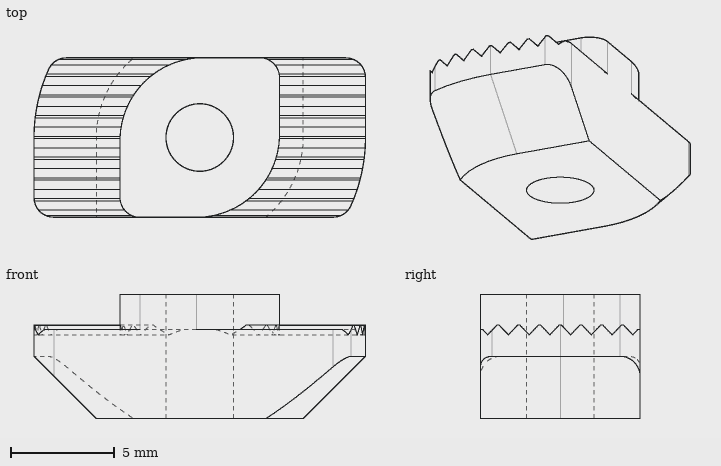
import cadquery as cq
import math

length = 16.0
width = 7.7
height = 6.0
half_length = length / 2
half_width = width / 2

ridge_top = 4.51
taper_height = 3.0
bottom_half_length = half_length - taper_height
corner_radius = 0.96

boss_round_radius = 4.0
hole_diameter = 3.25

pitch = length / 16
crest_width = 0.11
groove_half_width = (pitch - crest_width) / 2
groove_depth = 0.46
edge_flat_width = 0.1


def base_plan():
    """Half-turn symmetric plan: two square corners and two ends rounded about the centre."""
    arc_end_x = math.sqrt(half_length**2 - half_width**2)
    mid_angle = math.asin(half_width / half_length) / 2
    mid_x = half_length * math.cos(mid_angle)
    mid_y = half_length * math.sin(mid_angle)
    return (
        cq.Workplane("XY")
        .moveTo(-half_length, 0)
        .lineTo(-half_length, -half_width)
        .lineTo(arc_end_x, -half_width)
        .threePointArc((mid_x, -mid_y), (half_length, 0))
        .lineTo(half_length, half_width)
        .lineTo(-arc_end_x, half_width)
        .threePointArc((-mid_x, mid_y), (-half_length, 0))
        .close()
    )


def end_profile():
    """Section of one half of the base, from the centre line to the tapered end at +X."""
    return (
        cq.Workplane("XZ")
        .lineTo(bottom_half_length, 0)
        .lineTo(half_length, taper_height)
        .lineTo(half_length, ridge_top)
        .lineTo(0, ridge_top)
        .close()
    )


def end_envelope():
    """Tapered limit of the +X end: flat slope for Y > 0, conical slope for Y < 0."""
    flat_side = end_profile().extrude(-half_width)
    quarter_block = (
        cq.Workplane("XY")
        .box(half_length, half_length, ridge_top, centered=False)
        .translate((0, -half_length, 0))
    )
    conical_side = end_profile().revolve(360, (0, 0), (0, 1)).intersect(quarter_block)
    return flat_side.union(conical_side)


def make_base():
    block = base_plan().extrude(ridge_top)
    for side in (">Y", "<Y"):
        block = block.faces(side).edges("|Z").fillet(corner_radius)
    right_end = end_envelope()
    left_end = right_end.rotate((0, 0, 0), (0, 0, 1), 180)
    return block.intersect(right_end.union(left_end))


def cut_serrations(base):
    grooves_per_side = math.ceil(half_width / pitch)
    for index in range(-grooves_per_side, grooves_per_side):
        centre = (index + 0.5) * pitch
        groove = (
            cq.Workplane("YZ")
            .moveTo(centre - groove_half_width, ridge_top)
            .lineTo(centre, ridge_top - groove_depth)
            .lineTo(centre + groove_half_width, ridge_top)
            .close()
            .extrude(half_length, both=True)
        )
        base = base.cut(groove)
    return base


def flatten_long_edges(base):
    """Trim the outermost groove flanks to a narrow flat along each long side."""
    outer_groove = (math.floor(half_width / pitch) + 0.5) * pitch
    flat_start = half_width - edge_flat_width
    rise = (flat_start - outer_groove) * groove_depth / groove_half_width
    flat_height = ridge_top - groove_depth + rise
    for side in (-1, 1):
        trim = (
            cq.Workplane("YZ")
            .moveTo(side * half_width, flat_height)
            .lineTo(side * flat_start, flat_height)
            .lineTo(side * flat_start, ridge_top)
            .lineTo(side * half_width, ridge_top)
            .close()
            .extrude(half_length, both=True)
        )
        base = base.cut(trim)
    return base


def make_boss():
    """Square boss with two large rounds on one diagonal and small rounds on the other."""
    boss_bottom = ridge_top - groove_depth
    boss = (
        cq.Workplane("XY")
        .workplane(offset=boss_bottom)
        .rect(width, width)
        .extrude(height - boss_bottom)
    )
    for corner, radius in (
        ((-1, 1), boss_round_radius),
        ((1, -1), boss_round_radius),
        ((1, 1), corner_radius),
        ((-1, -1), corner_radius),
    ):
        edge_point = (corner[0] * half_width, corner[1] * half_width, height)
        upright_edge = cq.selectors.NearestToPointSelector(edge_point)
        boss = boss.edges("|Z").edges(upright_edge).fillet(radius)
    return boss


part = flatten_long_edges(cut_serrations(make_base())).union(make_boss())
hole = cq.Workplane("XY").circle(hole_diameter / 2).extrude(height)
result = part.cut(hole)